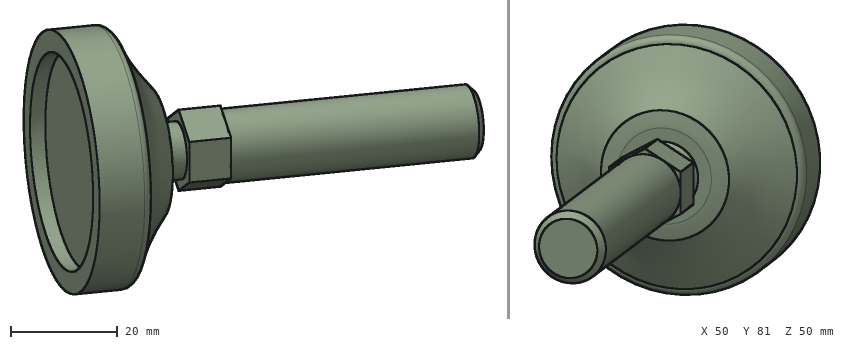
import cadquery as cq
import math

total_length = 81.0

pad_radius = 50.0 / 2
rim_height = 8.8
shoulder_radius = 23.6
shoulder_height = 10.45
flank_mid_radius = 17.25
flank_mid_height = 14.3
crown_radius = 12.55
crown_height = 18.1
pad_height = 18.55
top_flat_radius = 9.2
crown_mid_radius = (crown_radius + top_flat_radius) / 2
crown_mid_height = pad_height - (pad_height - crown_height) / 4
shoulder_bulge = 0.3
recess_radius = 41.5 / 2
recess_depth = 3.0

neck_radius = 11.0 / 2
flare_radius = 6.65
flare_top = 20.0
hex_sides = 6
hex_start = 22.9
hex_end = 31.1
stud_diameter = 14.0
stud_chamfer = 1.3


def make_pad():
    """Revolved pad with a rounded shoulder, a hollow flank and a shallow recess below."""
    shoulder_mid = (
        (pad_radius + shoulder_radius) / 2 + shoulder_bulge,
        (rim_height + shoulder_height) / 2 + shoulder_bulge,
    )
    profile = (
        cq.Workplane("XY")
        .moveTo(0, recess_depth)
        .lineTo(recess_radius, recess_depth)
        .lineTo(recess_radius, 0)
        .lineTo(pad_radius, 0)
        .lineTo(pad_radius, rim_height)
        .threePointArc(shoulder_mid, (shoulder_radius, shoulder_height))
        .threePointArc((flank_mid_radius, flank_mid_height), (crown_radius, crown_height))
        .threePointArc((crown_mid_radius, crown_mid_height), (top_flat_radius, pad_height))
        .lineTo(0, pad_height)
        .close()
    )
    return profile.revolve(360, (0, 0, 0), (0, 1, 0))


def make_stud():
    """Flared neck and plain shank with a chamfered end."""
    stud_radius = stud_diameter / 2
    profile = (
        cq.Workplane("XY")
        .moveTo(0, pad_height)
        .lineTo(flare_radius, pad_height)
        .lineTo(neck_radius, flare_top)
        .lineTo(neck_radius, hex_start)
        .lineTo(stud_radius, hex_start)
        .lineTo(stud_radius, total_length - stud_chamfer)
        .lineTo(stud_radius - stud_chamfer, total_length)
        .lineTo(0, total_length)
        .close()
    )
    return profile.revolve(360, (0, 0, 0), (0, 1, 0))


def make_hexagon():
    """Wrench hexagon with two flats facing +X and -X and corners on +Z and -Z."""
    across_corners = stud_diameter / math.cos(math.pi / hex_sides)
    return (
        cq.Workplane("XZ", origin=(0, hex_start, 0))
        .transformed(rotate=(0, 0, 90))
        .polygon(hex_sides, across_corners)
        .extrude(hex_start - hex_end)
    )


result = make_pad().union(make_stud()).union(make_hexagon())